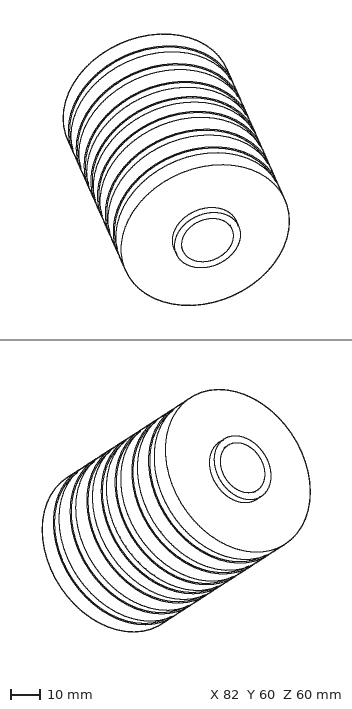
import cadquery as cq

TUBE_LENGTH = 82.0
TUBE_DIAMETER = 23.5
BORE_DIAMETER = 18.45

DRUM_DIAMETER = 60.0
DRUM_LENGTH = 76.2
GROOVE_DIAMETER = 59.0
GROOVE_WIDTH = 3.45
GROOVE_PITCH = 10.3
GROOVE_COUNT = 3
END_LAND_WIDTH = 7.0

SPACER_DIAMETER = GROOVE_DIAMETER
SPACER_WIDTH = 3.2


def ring(start_x, length, outer_diameter, inner_diameter):
    """Hollow cylinder about the X axis, running from start_x toward +X."""
    return (
        cq.Workplane("YZ", origin=(start_x, 0, 0))
        .circle(outer_diameter / 2)
        .circle(inner_diameter / 2)
        .extrude(length)
    )


def make_tube():
    """Central tube that carries the drum and projects at both ends."""
    return ring(-TUBE_LENGTH / 2, TUBE_LENGTH, TUBE_DIAMETER, BORE_DIAMETER)


def make_spacer():
    """Ring between the two half drums."""
    return ring(-SPACER_WIDTH / 2, SPACER_WIDTH, SPACER_DIAMETER, TUBE_DIAMETER)


def make_right_half_drum():
    """Half drum on the +X side, with shallow grooves around it."""
    inner_end = SPACER_WIDTH / 2
    outer_end = DRUM_LENGTH / 2
    half_drum = ring(inner_end, outer_end - inner_end, DRUM_DIAMETER, TUBE_DIAMETER)
    first_groove_start = outer_end - END_LAND_WIDTH - GROOVE_WIDTH
    for index in range(GROOVE_COUNT):
        groove_start = first_groove_start - index * GROOVE_PITCH
        half_drum = half_drum.cut(ring(groove_start, GROOVE_WIDTH, DRUM_DIAMETER, GROOVE_DIAMETER))
    return half_drum


tube = make_tube()
spacer = make_spacer()

half_drums = []
for turn_angle in (0, 180):
    half_drums.append(make_right_half_drum().rotate((0, 0, 0), (0, 0, 1), turn_angle))

result = cq.Compound.makeCompound(
    [tube.val(), spacer.val(), *[half_drum.val() for half_drum in half_drums]]
)